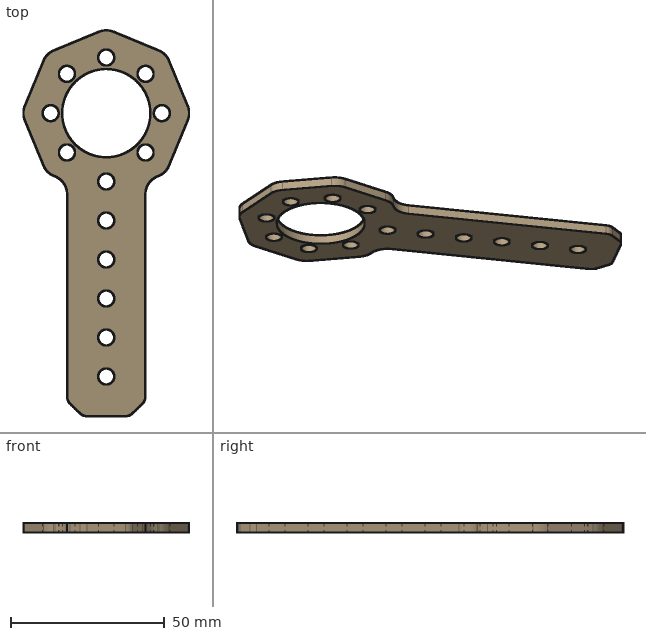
import cadquery as cq
import math

length = 125.4
thickness = 3.1

head_width = 53.9
head_corner_radius = 6.0
bore_diameter = 28.6
corner_count = 8
corner_step = 360 / corner_count
half_step = math.radians(corner_step / 2)
head_apothem = head_corner_radius + (head_width / 2 - head_corner_radius) * math.cos(half_step)
head_sharp_diameter = 2 * head_apothem / math.cos(half_step)

arm_width = 25.5
arm_end_y = head_width / 2 - length
end_chamfer_x = 5.1
end_chamfer_y = 5.0
end_corner_radius = 3.1
neck_fillet_radius = 6.3

hole_diameter = 5.1
hole_circle_radius = 18.0
arm_hole_pitch = 12.7
arm_hole_count = 6
first_arm_hole_y = -22.2


def make_head():
    """Octagonal plate with a corner on each axis and rounded corners."""
    return (
        cq.Workplane("XY")
        .polygon(corner_count, head_sharp_diameter)
        .extrude(thickness)
        .edges("|Z")
        .fillet(head_corner_radius)
    )


def make_arm():
    """Straight arm with chamfered, rounded end corners."""
    half_width = arm_width / 2
    end_half_width = half_width - end_chamfer_x
    shoulder_y = arm_end_y + end_chamfer_y
    return (
        cq.Workplane("XY")
        .moveTo(-half_width, 0)
        .lineTo(-half_width, shoulder_y)
        .lineTo(-end_half_width, arm_end_y)
        .lineTo(end_half_width, arm_end_y)
        .lineTo(half_width, shoulder_y)
        .lineTo(half_width, 0)
        .close()
        .extrude(thickness)
        .edges("|Z and (not >Y)")
        .fillet(end_corner_radius)
    )


def neck_edges(body):
    """Select the two inside corners where the arm meets the head."""
    half_width = arm_width / 2
    margin = 0.1
    neck_y = half_width * math.tan(half_step) - head_sharp_diameter / 2
    selector = cq.selectors.BoxSelector(
        (-half_width - margin, neck_y - margin, -margin),
        (half_width + margin, neck_y + margin, thickness + margin),
    )
    return body.edges("|Z").edges(selector)


def hole_points():
    """Ring holes facing each corner except the arm's, then the arm row."""
    ring = []
    for index in range(corner_count - 1):
        angle = math.radians(-90 + (index + 1) * corner_step)
        ring.append((hole_circle_radius * math.cos(angle), hole_circle_radius * math.sin(angle)))
    row = [(0, first_arm_hole_y - index * arm_hole_pitch) for index in range(arm_hole_count)]
    return ring + row


body = make_head().union(make_arm())
body = neck_edges(body).fillet(neck_fillet_radius)

bore = cq.Workplane("XY").circle(bore_diameter / 2).extrude(thickness)
holes = cq.Workplane("XY").pushPoints(hole_points()).circle(hole_diameter / 2).extrude(thickness)
result = body.cut(bore).cut(holes)